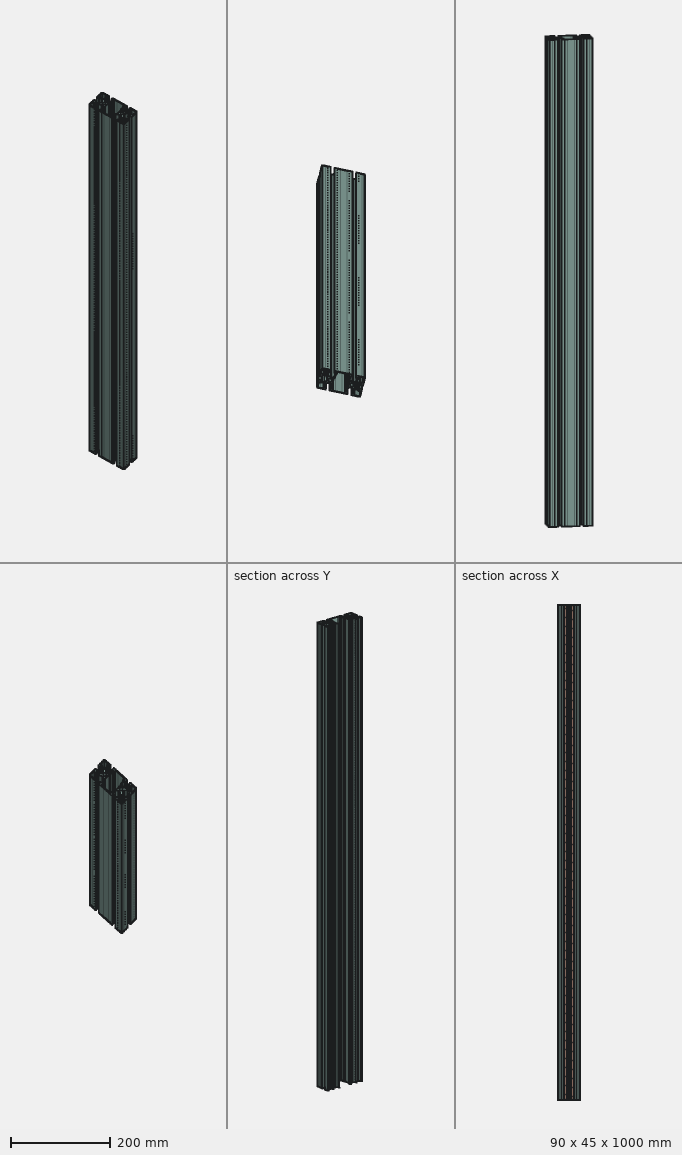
import cadquery as cq
import math

WIDTH = 90.0
DEPTH = 45.0
LENGTH = 1000.0
CORNER_RADIUS = 2.5
MODULE = DEPTH
SLOT_X = (WIDTH - MODULE) / 2

MOUTH_HALF = 4.0
LIP_THICKNESS = 5.0
SLOT_HALF = 7.0
SLOT_SHOULDER_DEPTH = 12.0
VALLEY_FROM_AXIS = 3.1
VALLEY_RADIUS = 2.0
RIDGE_SLOPE = math.radians(17.3)
GROOVE_HALF = 1.0

OUTER_WALL = 1.5
LIP_ROOT_WALL = 2.2
TAPER_START_FROM_SLOT = 15.5
SLOT_WALL = 1.3
LIP_BLOCK_HALF = 10.0
LIP_BLOCK_DEPTH = 6.5
BORE_DIAMETER = 7.3
CHAMBER_WAIST_HALF_X = 16.0
CHAMBER_WAIST_HALF_Y = 6.0


def prism(points):
    """Full-length prism with the given closed outline."""
    return cq.Workplane("XY").polyline(points).close().extrude(LENGTH)


def slot_cutter():
    """T-slot with its mouth on the plane y = 0, cut towards -Y and centred on x = 0."""
    valley_depth = SLOT_SHOULDER_DEPTH + SLOT_HALF - VALLEY_FROM_AXIS
    ridge_depth = valley_depth - VALLEY_FROM_AXIS * math.tan(RIDGE_SLOPE)
    right = [
        (MOUTH_HALF, 0),
        (MOUTH_HALF, -LIP_THICKNESS),
        (SLOT_HALF, -LIP_THICKNESS),
        (SLOT_HALF, -SLOT_SHOULDER_DEPTH),
        (VALLEY_FROM_AXIS, -valley_depth),
    ]
    left = [(-x, y) for x, y in reversed(right)]
    slot = prism(right + [(0, -ridge_depth)] + left).edges("|Z and <Y").fillet(VALLEY_RADIUS)

    groove_edge = ridge_depth + GROOVE_HALF * math.tan(RIDGE_SLOPE)
    groove = prism(
        [
            (GROOVE_HALF, -SLOT_SHOULDER_DEPTH),
            (GROOVE_HALF, -groove_edge),
            (0, -groove_edge - GROOVE_HALF),
            (-GROOVE_HALF, -groove_edge),
            (-GROOVE_HALF, -SLOT_SHOULDER_DEPTH),
        ]
    )
    return slot.union(groove)


def corner_chamber():
    """Chamber in the +X +Y corner, cut back beside both slots so that it follows their lips."""
    near_lip = DEPTH / 2 - LIP_BLOCK_HALF
    near_slot = DEPTH / 2 - SLOT_HALF - SLOT_WALL
    step = near_slot - near_lip
    x_side = [
        (OUTER_WALL, DEPTH / 2 - TAPER_START_FROM_SLOT),
        (LIP_ROOT_WALL, near_lip),
        (LIP_BLOCK_DEPTH, near_lip),
        (LIP_BLOCK_DEPTH + step, near_slot),
    ]
    y_side = [(y, x) for x, y in reversed(x_side)]
    depths = [(OUTER_WALL, OUTER_WALL)] + x_side + [(near_slot, near_slot)] + y_side
    return prism([(WIDTH / 2 - x, DEPTH / 2 - y) for x, y in depths])


def central_chamber():
    """Chamber between the two modules, narrow between the lips and widest beside the bores."""
    lip_x = SLOT_X - LIP_BLOCK_HALF
    slot_x = SLOT_X - SLOT_HALF - SLOT_WALL
    lip_y = DEPTH / 2 - LIP_BLOCK_DEPTH
    quarter = [
        (CHAMBER_WAIST_HALF_X, CHAMBER_WAIST_HALF_Y),
        (slot_x, CHAMBER_WAIST_HALF_Y + CHAMBER_WAIST_HALF_X - slot_x),
        (slot_x, lip_y - (slot_x - lip_x)),
        (lip_x, lip_y),
        (lip_x, DEPTH / 2 - LIP_ROOT_WALL),
        (SLOT_X - TAPER_START_FROM_SLOT, DEPTH / 2 - OUTER_WALL),
    ]
    upper = quarter + [(-x, y) for x, y in reversed(quarter)]
    lower = [(-x, -y) for x, y in upper]
    return prism(upper + lower)


result = (
    cq.Workplane("XY")
    .rect(WIDTH, DEPTH)
    .extrude(LENGTH)
    .edges("|Z")
    .fillet(CORNER_RADIUS)
    .cut(central_chamber())
)

for side in (-1, 1):
    facing = 90 - 90 * side
    for x in (-SLOT_X, SLOT_X):
        long_slot = slot_cutter().rotate((0, 0, 0), (0, 0, 1), facing)
        result = result.cut(long_slot.translate((x, side * DEPTH / 2, 0)))
    short_slot = slot_cutter().rotate((0, 0, 0), (0, 0, 1), -90 * side)
    result = result.cut(short_slot.translate((side * WIDTH / 2, 0, 0)))

    bore = cq.Workplane("XY").center(side * SLOT_X, 0).circle(BORE_DIAMETER / 2).extrude(LENGTH)
    result = result.cut(bore)

upper_chambers = corner_chamber().union(corner_chamber().mirror("YZ"))
result = result.cut(upper_chambers).cut(upper_chambers.mirror("XZ"))